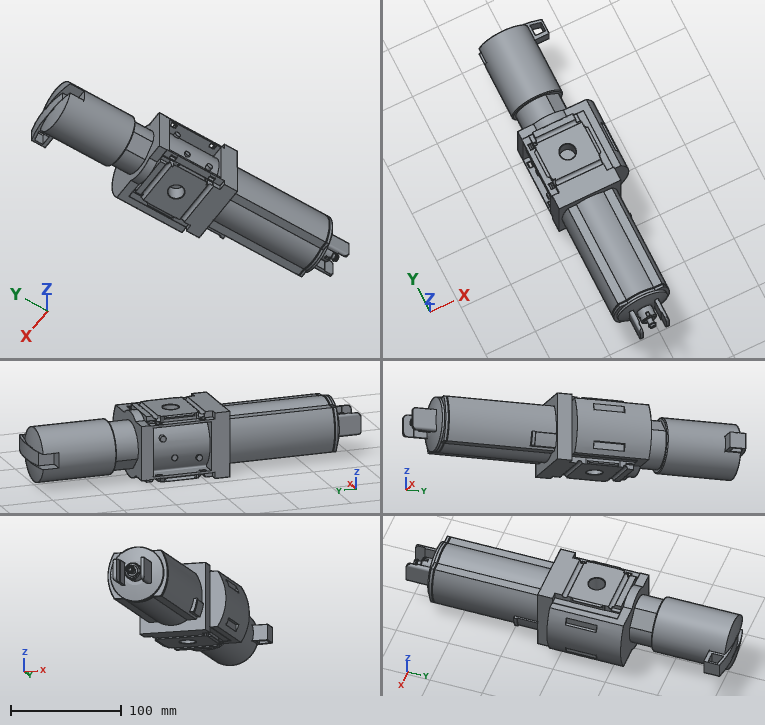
import cadquery as cq
import math


block_half = 31.05
block_front = -45.5
block_rear = 39.0
front_bar_depth = 14.0
rear_bar_depth = 8.5
front_bar_rear = block_front + front_bar_depth
rear_bar_front = block_rear - rear_bar_depth
strip_half_height = 25.3
rear_bar_half_height = 25.75
bulge_half_width = 15.0
column_half_width = 24.0
panel_half_width = 20.3
corner_half_height = 26.8
groove_diameter = 5.0
groove_y = 22.0
port_diameter = 15.0
port_depth = 15.5
port_chamfer = 0.47

lip_reach = 2.95
lip_edge_drop = 0.78
lip_height = 3.28
lip_half_length = 15.0
lip_end_taper = 2.0
pad_half_length = 16.2
pad_thickness = 0.3

slot_width = 5.5
slot_height = 3.0
slot_tilt = 30.0
slot_x = -26.5
slot_y = 21.0

window_half_height = 23.0
window_half_length = 27.8
core_radius = 28.0
core_fillet = 1.2
boss_diameter = 5.5
boss_faces = [(-29.0, 17.5, 11.0), (-27.8, 6.0, -8.5), (-28.7, -17.5, -10.5)]

cover_edge_x = 38.0
cover_peak_x = 46.03
display_floor_z = 14.7
display_x = 41.0
display_half_length = 14.7

neck_radius = 22.0
neck_flat_distance = 20.3
neck_flat_angle = 45.0
knob_diameter = 51.0
knob_radius = knob_diameter / 2
knob_front = 61.0
knob_rim = 131.0
knob_chamfer = 1.0
total_length = 312.0
knob_tip = 134.5

slider_thickness = 14.5
slider_front = 116.0
slider_shift = 13.5
shackle_left = 26.8
shackle_wall = 2.0
shackle_front_wall = 3.7
shackle_top_wall = 2.8

bowl_diameter = 50.2
bowl_half_width = 28.0
bowl_corner_x = 22.0
bowl_flat_height = 21.05
bowl_sides_front = -150.7
bowl_groove_rear = -147.3
bowl_groove_width = 1.0
bowl_groove_depth = 0.3
bowl_end_radius = 25.0
bowl_rim = -153.0
bowl_nose = -156.0
bowl_nose_radius = 11.2

latch_front = -69.0
latch_top = -7.0
latch_bottom = -19.0
latch_thickness = 1.72
latch_hook_thickness = 2.8
latch_hook_length = 3.0

fin_front = knob_tip - total_length
fin_outer_x = 14.7
fin_thickness = 3.0
fin_half_height = 10.3
fin_edge_radius = 2.2
fin_corner_radius = 3.7
fin_pad_thickness = 1.0
fin_pad_front = -168.2
stem_diameter = 15.0
stem_front = -167.0
stem_chamfer = 1.0
stem_recess_diameter = 10.0
stem_recess_depth = 1.5
stem_notch_width = 2.8
stem_notch_rear = -161.5
stem_notch_front = -165.5
tip_diameter = 5.5
tip_front = -174.5
tip_collar_diameter = 7.5
tip_collar_y = -172.0
tip_collar_width = 0.5
tip_hole_diameter = 3.7
tip_hole_depth = 3.0


def box(x_range, y_range, z_range):
    """Box between the given limits."""
    (x0, x1), (y0, y1), (z0, z1) = x_range, y_range, z_range
    return cq.Workplane("XY").box(x1 - x0, y1 - y0, z1 - z0, centered=False).translate((x0, y0, z0))


def section(y):
    """Sketch plane across the long axis at y, with its normal toward -Y."""
    return cq.Workplane("XZ", origin=(0, y, 0))


def rod(diameter, rear, front):
    """Cylinder on the long axis from rear to front."""
    return section(rear).circle(diameter / 2).extrude(rear - front)


def both_sides(shape, plane):
    """The shape together with its mirror image."""
    return shape.union(shape.mirror(plane))


def make_column():
    """Raised column between the bars, with its relieved rear corners and two cross grooves."""
    column = box((-column_half_width, column_half_width), (block_front, rear_bar_front), (-block_half, block_half))
    for side in (1, -1):
        for face in (1, -1):
            corner = box(
                (panel_half_width, column_half_width), (groove_y, rear_bar_front), (corner_half_height, block_half)
            )
            if side < 0:
                corner = corner.mirror("YZ")
            if face < 0:
                corner = corner.mirror("XY")
            column = column.cut(corner)
    for y in (groove_y, -groove_y):
        for z in (block_half, -block_half):
            groove = (
                cq.Workplane("YZ", origin=(-block_half, y, z)).circle(groove_diameter / 2).extrude(2 * block_half)
            )
            column = column.cut(groove)
    return column


def make_lips():
    """Four wedge lips on thin pads along the edges of the column."""
    tip_x = column_half_width + lip_reach
    lip = (
        section(lip_half_length)
        .moveTo(column_half_width, block_half)
        .lineTo(tip_x, block_half - lip_edge_drop)
        .lineTo(column_half_width, block_half - lip_height)
        .close()
        .extrude(2 * lip_half_length)
    )
    plan = (
        cq.Workplane("XY", origin=(0, 0, strip_half_height))
        .polyline([
            (column_half_width, lip_half_length),
            (tip_x, lip_half_length - lip_end_taper),
            (tip_x, lip_end_taper - lip_half_length),
            (column_half_width, -lip_half_length),
        ])
        .close()
        .extrude(block_half - strip_half_height)
    )
    pad = box(
        (column_half_width, column_half_width + pad_thickness),
        (-pad_half_length, pad_half_length),
        (strip_half_height, block_half),
    )
    return both_sides(both_sides(lip.intersect(plan).union(pad), "YZ"), "XY")


def make_rear_bar():
    """Rear bar with a rounded hump above and below."""
    h = rear_bar_half_height
    return (
        section(block_rear)
        .moveTo(-block_half, -h)
        .lineTo(-bulge_half_width, -h)
        .threePointArc((0, -block_half), (bulge_half_width, -h))
        .lineTo(block_half, -h)
        .lineTo(block_half, h)
        .lineTo(bulge_half_width, h)
        .threePointArc((0, block_half), (-bulge_half_width, h))
        .lineTo(-block_half, h)
        .close()
        .extrude(rear_bar_depth)
    )


def make_cover():
    """Cover with a rounded outer face and a notch above and below its display."""
    h = rear_bar_half_height
    cover = (
        section(block_rear)
        .moveTo(block_half, -h)
        .lineTo(cover_edge_x, -h)
        .threePointArc((cover_peak_x, 0), (cover_edge_x, h))
        .lineTo(block_half, h)
        .close()
        .extrude(block_rear - front_bar_rear)
    )
    notch = box(
        (display_x, cover_peak_x), (-display_half_length, display_half_length), (display_floor_z, block_half)
    )
    return cover.cut(both_sides(notch, "XY"))


def make_window():
    """Space of the side window, in front of the rounded core."""
    space = box(
        (-block_half, 0),
        (-window_half_length, window_half_length),
        (-window_half_height, window_half_height),
    )
    space = space.cut(rod(2 * core_radius, window_half_length, -window_half_length))
    inner_edges = cq.selectors.BoxSelector(
        (-core_radius, -3, -block_half), (-block_half / 3, 3, block_half)
    )
    return space.edges("|Y").edges(inner_edges).fillet(core_fillet)


def make_bosses():
    """Round bosses with flat faces on the core behind the window."""
    bosses = cq.Workplane("YZ")
    for centre in boss_faces:
        boss = cq.Workplane("YZ", origin=centre).circle(boss_diameter / 2).extrude(core_radius / 2)
        bosses = bosses.add(boss)
    return bosses.combine()


def make_oblique_slots():
    """Oblique slots from the column edge through the strips into the window."""
    slots = cq.Workplane("XY")
    for y in (slot_y, -slot_y):
        slot = (
            cq.Workplane("XY")
            .box(slot_height, slot_width, 2 * (block_half - window_half_height))
            .rotate((0, 0, 0), (0, 1, 0), slot_tilt)
            .translate((slot_x, y, strip_half_height))
        )
        slots = slots.add(slot)
    return both_sides(slots.combine(), "XY")


def make_ports():
    """Chamfered blind ports in the upper and lower faces of the column."""
    bore = cq.Workplane("XY", origin=(0, 0, block_half)).circle(port_diameter / 2).extrude(-port_depth)
    mouth = (
        cq.Workplane("XY", origin=(0, 0, block_half))
        .circle(port_diameter / 2 + port_chamfer)
        .extrude(-port_chamfer, taper=45)
    )
    return both_sides(bore.union(mouth), "XY")


def make_block():
    """Complete middle block with its cover."""
    core = box((-block_half, block_half), (block_front, block_rear), (-strip_half_height, strip_half_height))
    front_bar = box((-block_half, block_half), (block_front, front_bar_rear), (-block_half, block_half))
    block = core.union(front_bar).union(make_column()).union(make_rear_bar())
    block = block.union(make_lips()).union(make_cover()).clean()
    return block.cut(make_window()).union(make_bosses()).cut(make_oblique_slots()).cut(make_ports())


def make_neck():
    """Neck behind the block with two opposite flats."""
    length = knob_front - block_rear
    flats = (
        section(knob_front)
        .rect(2 * neck_flat_distance, 2 * knob_radius)
        .extrude(length)
        .rotate((0, 0, 0), (0, 1, 0), -neck_flat_angle)
    )
    return rod(2 * neck_radius, knob_front, block_rear).intersect(flats)


def dome_radius():
    """Radius of the domed rear end of the knob and the slider."""
    rise = knob_tip - knob_rim
    return (knob_radius**2 + rise**2) / (2 * rise)


def make_knob():
    """Domed knob with a slot for the slider through its rear end."""
    profile = (
        cq.Workplane("XY")
        .moveTo(0, knob_front)
        .lineTo(knob_radius - knob_chamfer, knob_front)
        .lineTo(knob_radius, knob_front + knob_chamfer)
        .lineTo(knob_radius, knob_rim)
        .radiusArc((0, knob_tip), -dome_radius())
        .close()
    )
    knob = profile.revolve(360, (0, 0, 0), (0, 1, 0))
    half_slot = slider_thickness / 2
    slot = box((-knob_radius, knob_radius), (slider_front, knob_tip), (-half_slot, half_slot))
    return knob.cut(slot)


def make_slider():
    """Lock slider with the shape of the knob's rear end and a shackle opening, shifted to +X."""

    def outline(left, right, front, tip, radius):
        centre = tip - radius
        left_top = centre + math.sqrt(radius**2 - left**2)
        right_top = centre + math.sqrt(radius**2 - right**2)
        middle = (left + right) / 2
        middle_top = centre + math.sqrt(radius**2 - middle**2)
        return (
            cq.Workplane("XY", origin=(slider_shift, 0, -slider_thickness / 2))
            .moveTo(left, front)
            .lineTo(right, front)
            .lineTo(right, right_top)
            .threePointArc((middle, middle_top), (left, left_top))
            .close()
            .extrude(slider_thickness)
        )

    plate = outline(-knob_radius, knob_radius, slider_front, knob_tip, dome_radius())
    opening = outline(
        shackle_left - slider_shift,
        knob_radius - shackle_wall,
        slider_front + shackle_front_wall,
        knob_tip - shackle_top_wall,
        dome_radius() - shackle_top_wall,
    )
    return plate.cut(opening)


def bowl_sides(inset, rear, front):
    """Bar with flat upper and lower faces and bulging sides."""
    x = bowl_corner_x - inset
    z = bowl_flat_height - inset
    bulge = bowl_half_width - inset
    return (
        section(rear)
        .moveTo(-x, z)
        .lineTo(x, z)
        .threePointArc((bulge, 0), (x, -z))
        .lineTo(-x, -z)
        .threePointArc((-bulge, 0), (-x, z))
        .close()
        .extrude(rear - front)
    )


def bowl_section(inset, rear, front):
    """Length of the bowl, with its whole outline moved in by the inset."""
    return bowl_sides(inset, rear, front).union(rod(bowl_diameter - 2 * inset, rear, front))


def make_bowl():
    """Bowl with a fine groove around it and a domed round end."""
    groove_front = bowl_groove_rear - bowl_groove_width
    bowl = bowl_section(0, block_front, bowl_groove_rear)
    bowl = bowl.union(bowl_section(bowl_groove_depth, bowl_groove_rear, groove_front))
    bowl = bowl.union(bowl_section(0, groove_front, bowl_sides_front))
    rise = bowl_rim - bowl_nose
    centre_distance = (bowl_end_radius**2 - bowl_nose_radius**2 - rise**2) / (2 * rise)
    end = (
        cq.Workplane("XY")
        .moveTo(0, bowl_sides_front)
        .lineTo(bowl_end_radius, bowl_sides_front)
        .lineTo(bowl_end_radius, bowl_rim)
        .radiusArc((bowl_nose_radius, bowl_nose), math.hypot(bowl_end_radius, centre_distance))
        .lineTo(0, bowl_nose)
        .close()
        .revolve(360, (0, 0, 0), (0, 1, 0))
    )
    return bowl.union(end)


def make_latch():
    """Curved latch plate with a thicker hook at its end, lying against the bowl."""
    band = box((0, block_half), (latch_front, block_front), (latch_bottom, latch_top))
    hook_rear = latch_front + latch_hook_length
    plate = bowl_sides(-latch_thickness, block_front, latch_front)
    hook = bowl_sides(-latch_hook_thickness, hook_rear, latch_front)
    inside = bowl_sides(0, block_front, latch_front)
    return plate.union(hook).intersect(band).cut(inside)


def make_fins():
    """Two guard fins with rounded outer edges and a thicker root."""
    inner_x = fin_outer_x - fin_thickness
    blank = box((inner_x, fin_outer_x), (fin_front, bowl_rim), (-fin_half_height, fin_half_height))
    round_edges = blank.edges("|Y and >X").fillet(fin_edge_radius)
    round_corners = blank.edges("|X and <Y").fillet(fin_corner_radius)
    fin = round_edges.intersect(round_corners)
    pad = box(
        (inner_x - fin_pad_thickness, inner_x), (fin_pad_front, bowl_rim), (-fin_half_height, fin_half_height)
    )
    return both_sides(fin.union(pad), "YZ")


def make_stem():
    """Drain stem with four notches around its end and a collared hollow tip."""
    stem = rod(stem_diameter, bowl_rim, stem_front).faces("<Y").chamfer(stem_chamfer)
    stem = stem.cut(rod(stem_recess_diameter, stem_front + stem_recess_depth, stem_front))
    half_notch = stem_notch_width / 2
    notch = box(
        (stem_recess_diameter / 2, stem_diameter),
        (stem_notch_front, stem_notch_rear),
        (-half_notch, half_notch),
    )
    for turn in range(4):
        stem = stem.cut(notch.rotate((0, 0, 0), (0, 1, 0), 90 * turn))
    stem = stem.union(rod(tip_diameter, bowl_rim, tip_front))
    stem = stem.union(rod(tip_collar_diameter, tip_collar_y, tip_collar_y - tip_collar_width))
    return stem.cut(rod(tip_hole_diameter, tip_front + tip_hole_depth, tip_front))


regulator = make_block().union(make_neck()).union(make_knob())
regulator = regulator.union(make_bowl()).union(make_latch()).union(make_fins()).union(make_stem())
lock_slider = make_slider()

result = cq.Compound.makeCompound([regulator.val(), lock_slider.val()])